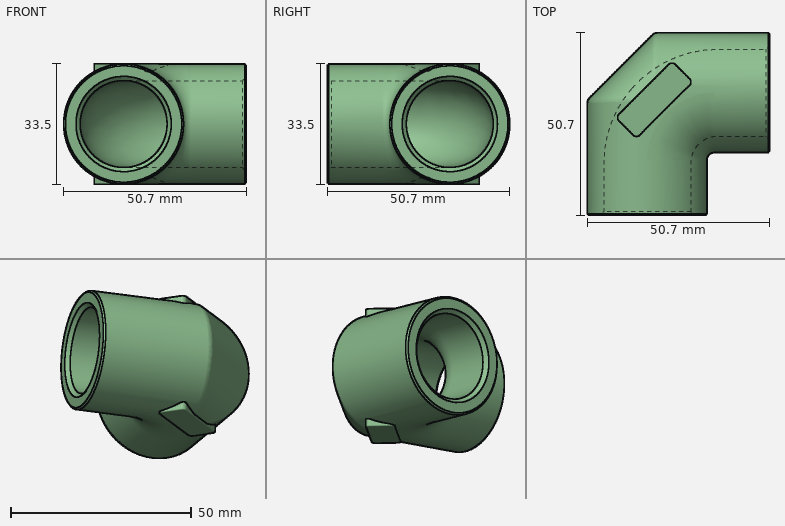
import cadquery as cq
import math

overall_size = 50.65
outer_diameter = 33.3
end_chamfer = 0.5

corner_offset = 2.1
corner_fillet = 2.0
inner_bend_radius = 2.0

bore_diameter = 24.1
mouth_chamfer = 1.15
bore_bend_radius = 19.45

pad_length = 22.1
pad_width = 8.2
pad_span = 33.5
pad_corner_radius = 1.25
pad_edge_fillet = 0.3
pad_offset = 2.0

outer_radius = outer_diameter / 2
bore_radius = bore_diameter / 2
arm_reach = overall_size - outer_radius
bend_radius = outer_radius + inner_bend_radius

Z_AXIS = ((0, 0, 0), (0, 0, 1))


def both_arms(x_side):
    """Join a feature of the +X arm with its copy turned onto the -Y arm."""
    return x_side.union(x_side.rotate(*Z_AXIS, -90))


def outer_arms():
    """Two round arms, from the corner planes to the chamfered open ends."""
    x_arm = (
        cq.Workplane("YZ", origin=(corner_offset, 0, 0))
        .circle(outer_radius)
        .extrude(arm_reach - corner_offset)
        .faces(">X")
        .chamfer(end_chamfer)
    )
    return both_arms(x_arm)


def corner_cap():
    """Elliptical cylinder at 45 degrees that meets both arms in their inner end circles."""
    cap_line = cq.Plane(
        origin=(corner_offset / 2, -corner_offset / 2, 0), xDir=(-1, 1, 0), normal=(1, 1, 0)
    )
    cylinder = (
        cq.Workplane(cap_line)
        .ellipse(outer_radius / math.sqrt(2), outer_radius)
        .extrude(2 * overall_size)
        .translate((-overall_size, -overall_size, 0))
    )
    corner_zone = (
        cq.Workplane("XY")
        .box(overall_size, overall_size, overall_size, centered=(False, False, True))
        .translate((corner_offset - overall_size, -corner_offset, 0))
    )
    return cylinder.intersect(corner_zone)


def inner_bend():
    """Flat-topped square inside the elbow, hollowed to a quarter-turn round bend."""
    square = (
        cq.Workplane("XY")
        .rect(bend_radius, -bend_radius, centered=False)
        .extrude(outer_radius, both=True)
    )
    bend_circle = (
        cq.Workplane("XY")
        .center(bend_radius, -bend_radius)
        .circle(bend_radius)
        .extrude(outer_radius, both=True)
    )
    round_bend = (
        cq.Workplane("XZ", origin=(0, -bend_radius, 0))
        .moveTo(0, -outer_radius)
        .threePointArc((outer_radius, 0), (0, outer_radius))
        .close()
        .revolve(360, (bend_radius, 0, 0), (bend_radius, 1, 0))
    )
    return square.cut(bend_circle).union(round_bend.intersect(square))


def label_pads():
    """One block through the elbow whose two ends stand out as the label pads."""
    return (
        cq.Workplane("XY")
        .rect(pad_length, pad_width)
        .extrude(pad_span / 2, both=True)
        .edges("|Z")
        .fillet(pad_corner_radius)
        .faces("|Z")
        .edges()
        .fillet(pad_edge_fillet)
        .rotate(*Z_AXIS, 45)
        .translate((pad_offset, -pad_offset, 0))
    )


def round_outer_corner(body):
    """Fillet the arcs, from pad to pad, where the cap meets the arms."""
    margin = 0.5
    corner_box = cq.selectors.BoxSelector(
        (-outer_radius - margin, -corner_offset - margin, -outer_radius - margin),
        (corner_offset + margin, outer_radius + margin, outer_radius + margin),
        boundingbox=True,
    )
    return body.edges(corner_box).edges("%CIRCLE or %ELLIPSE").fillet(corner_fillet)


def passage():
    """Bore along both arms with a smooth quarter bend and a cone at each mouth."""
    path = (
        cq.Workplane("XY")
        .moveTo(arm_reach, 0)
        .lineTo(bore_bend_radius, 0)
        .radiusArc((0, -bore_bend_radius), -bore_bend_radius)
        .lineTo(0, -arm_reach)
    )
    mouth_plane = cq.Workplane("YZ", origin=(arm_reach, 0, 0))
    bore = mouth_plane.circle(bore_radius).sweep(path)
    x_mouth = mouth_plane.circle(bore_radius + mouth_chamfer).extrude(-mouth_chamfer, taper=45)
    return bore.union(both_arms(x_mouth))


elbow = outer_arms().union(corner_cap()).union(inner_bend()).union(label_pads())
result = round_outer_corner(elbow).cut(passage())